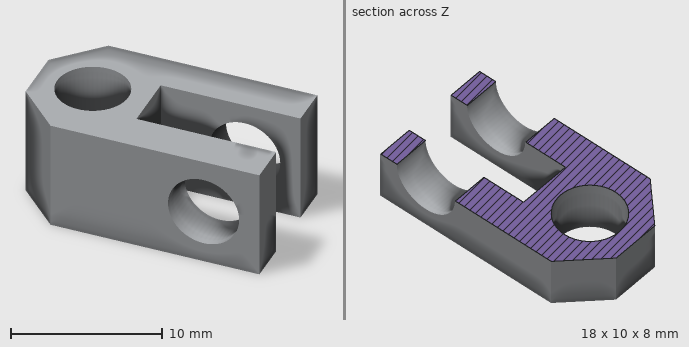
import cadquery as cq

length = 18.0
width = 10.0
height = 8.0
corner_chamfer = 3.05
hole_diameter = 5.1
hole_end_distance = height / 2
slot_width = 4.2
slot_start = 8.0

body = cq.Workplane("XY").box(length, width, height).translate((length / 2, 0, 0))

body = body.edges("|Z and <X").chamfer(corner_chamfer)

slot_length = length - slot_start
slot = (
    cq.Workplane("XY")
    .box(slot_length, slot_width, height)
    .translate((slot_start + slot_length / 2, 0, 0))
)

vertical_hole = (
    cq.Workplane("XY")
    .center(hole_end_distance, 0)
    .circle(hole_diameter / 2)
    .extrude(height / 2, both=True)
)

pin_hole = (
    cq.Workplane("XZ")
    .center(length - hole_end_distance, 0)
    .circle(hole_diameter / 2)
    .extrude(width / 2, both=True)
)

result = body.cut(slot).cut(vertical_hole).cut(pin_hole)